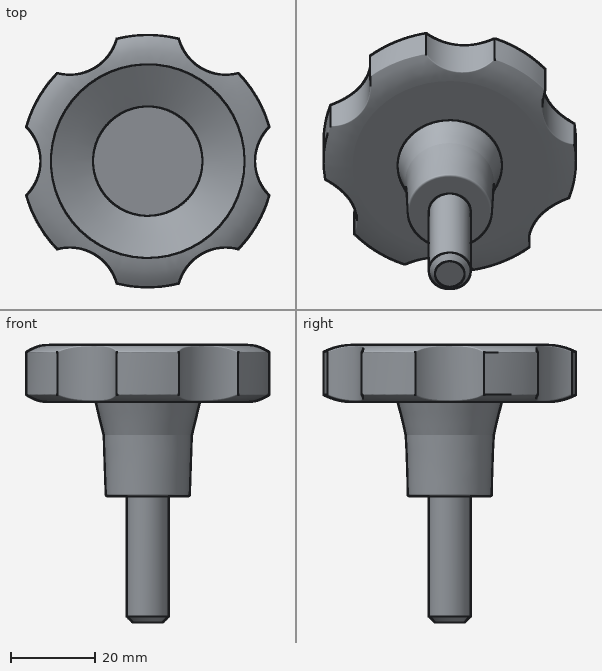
import cadquery as cq
import math

stud_radius = 5.0
stud_length = 30.0
stud_tip_chamfer = 1.5

hub_base_radius = 10.0
hub_waist_radius = 10.5
hub_top_radius = 12.4
hub_waist_z = 14.5
hub_base_fillet = 0.5

head_top_z = 36.0
head_radius = 30.0
head_flat_radius = 23.0
crown_radius = 15.0
rim_height = 10.2
scallop_count = 6
scallop_radius = 11.5
scallop_center_radius = 37.0
outline_fillet = 0.25

dish_top_radius = head_flat_radius
dish_floor_radius = 13.0
dish_depth = 4.0

crown_reach = head_radius - head_flat_radius
crown_height = crown_radius - math.sqrt(crown_radius**2 - crown_reach**2)
rim_top_z = head_top_z - crown_height
rim_bottom_z = rim_top_z - rim_height
head_bottom_z = rim_bottom_z - crown_height
dish_floor_z = head_top_z - dish_depth

half_crown_angle = math.asin(crown_reach / crown_radius) / 2
crown_mid_radius = head_flat_radius + crown_radius * math.sin(half_crown_angle)
crown_mid_drop = crown_radius * (1 - math.cos(half_crown_angle))


def make_head():
    """Crowned disc with finger scallops around the rim."""
    disc = (
        cq.Workplane("XZ")
        .moveTo(0, head_bottom_z)
        .lineTo(head_flat_radius, head_bottom_z)
        .threePointArc((crown_mid_radius, head_bottom_z + crown_mid_drop), (head_radius, rim_bottom_z))
        .lineTo(head_radius, rim_top_z)
        .threePointArc((crown_mid_radius, head_top_z - crown_mid_drop), (head_flat_radius, head_top_z))
        .lineTo(0, head_top_z)
        .close()
        .revolve(360, (0, 0, 0), (0, 1, 0))
    )
    scallops = (
        cq.Workplane("XY")
        .workplane(offset=head_bottom_z)
        .polarArray(scallop_center_radius, 0, 360, scallop_count)
        .circle(scallop_radius)
        .extrude(head_top_z - head_bottom_z)
    )
    return round_outline_edges(disc.cut(scallops))


def round_outline_edges(head):
    """Round the whole scalloped outline where it meets the two crown surfaces."""
    middle_z = (head_top_z + head_bottom_z) / 2
    smallest_radius = (head_flat_radius + scallop_center_radius - scallop_radius) / 2

    def is_outline_edge(edge):
        center = edge.positionAt(0.5)
        beyond_flat = math.hypot(center.x, center.y) > smallest_radius
        clear_of_middle = abs(center.z - middle_z) > rim_height / 4
        return beyond_flat and clear_of_middle

    outline_edges = [edge for edge in head.edges().vals() if is_outline_edge(edge)]
    return head.newObject(outline_edges).fillet(outline_fillet)


def make_hub():
    """Two-stage tapered hub with a rounded base edge."""
    hub = (
        cq.Workplane("XZ")
        .moveTo(0, 0)
        .lineTo(hub_base_radius, 0)
        .lineTo(hub_waist_radius, hub_waist_z)
        .lineTo(hub_top_radius, head_bottom_z)
        .lineTo(0, head_bottom_z)
        .close()
        .revolve(360, (0, 0, 0), (0, 1, 0))
    )
    return hub.faces("<Z").edges().fillet(hub_base_fillet)


def make_stud():
    """Plain stud below the hub with a chamfered tip."""
    stud = cq.Workplane("XY").circle(stud_radius).extrude(-stud_length)
    return stud.faces("<Z").edges().chamfer(stud_tip_chamfer)


def make_dish():
    """Cone frustum removed from the top of the head."""
    return (
        cq.Workplane("XZ")
        .moveTo(0, dish_floor_z)
        .lineTo(dish_floor_radius, dish_floor_z)
        .lineTo(dish_top_radius, head_top_z)
        .lineTo(0, head_top_z)
        .close()
        .revolve(360, (0, 0, 0), (0, 1, 0))
    )


result = make_head().union(make_hub()).union(make_stud()).cut(make_dish())